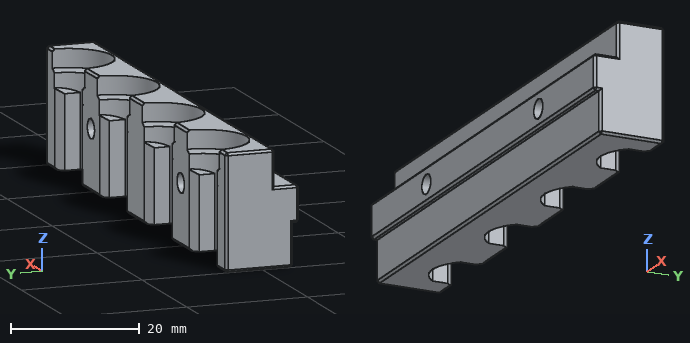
import cadquery as cq
import math

LENGTH = 80.0
DEPTH = 12.2
HEIGHT = 19.0
EDGE_CHAMFER = 0.4

UPPER_RECESS = 4.0
LOWER_RECESS = 1.0
TONGUE_BOTTOM = 7.0
TONGUE_TOP = 13.0

CRADLE_COUNT = 4
CRADLE_PITCH = LENGTH / CRADLE_COUNT
MOUTH_RADIUS = 7.2
MOUTH_DEPTH = 3.0
BORE_RADIUS = 6.2
BORE_DEPTH = 6.0
THROAT_HALF_WIDTH = 5.0
THROAT_LEAD_IN = 1.2
LEDGE_SLOPE = math.radians(30)

HOLE_COUNT = 2
HOLE_DIAMETER = 3.2
HOLE_SPACING = 2 * CRADLE_PITCH
HOLE_HEIGHT = (TONGUE_BOTTOM + TONGUE_TOP) / 2


def make_body():
    """Stepped bar along X with every outer edge chamfered."""
    upper_front = -DEPTH + UPPER_RECESS
    lower_front = -DEPTH + LOWER_RECESS
    profile = [
        (0, 0),
        (0, HEIGHT),
        (upper_front, HEIGHT),
        (upper_front, TONGUE_TOP),
        (-DEPTH, TONGUE_TOP),
        (-DEPTH, TONGUE_BOTTOM),
        (lower_front, TONGUE_BOTTOM),
        (lower_front, 0),
    ]
    bar = cq.Workplane("YZ").polyline(profile).close().extrude(LENGTH / 2, both=True)

    inner_corners = [(upper_front, TONGUE_TOP), (lower_front, TONGUE_BOTTOM)]

    def is_outer(edge):
        center = edge.Center()
        distances = [math.hypot(center.y - y, center.z - z) for y, z in inner_corners]
        return min(distances) > EDGE_CHAMFER

    outer_edges = [edge for edge in bar.edges().vals() if is_outer(edge)]
    return bar.newObject(outer_edges).chamfer(EDGE_CHAMFER)


def make_cradle_cutter():
    """Cutter for one cradle: wide mouth, cone, bore, then a flat-sided throat."""
    cone_top = HEIGHT - MOUTH_DEPTH
    cone_bottom = cone_top - (MOUTH_RADIUS - BORE_RADIUS) * math.tan(LEDGE_SLOPE)
    bore_bottom = HEIGHT - BORE_DEPTH

    half_section = [
        (0, 0),
        (BORE_RADIUS, 0),
        (BORE_RADIUS, cone_bottom),
        (MOUTH_RADIUS, cone_top),
        (MOUTH_RADIUS, HEIGHT),
        (0, HEIGHT),
    ]
    round_cutter = (
        cq.Workplane("XZ").polyline(half_section).close().revolve(360, (0, 0), (0, 1))
    )

    throat_top = bore_bottom - (BORE_RADIUS - THROAT_HALF_WIDTH) * math.tan(LEDGE_SLOPE)
    slot_outline = [
        (-THROAT_HALF_WIDTH, 0),
        (THROAT_HALF_WIDTH, 0),
        (THROAT_HALF_WIDTH, throat_top),
        (BORE_RADIUS, bore_bottom),
        (MOUTH_RADIUS, bore_bottom),
        (MOUTH_RADIUS, HEIGHT),
        (-MOUTH_RADIUS, HEIGHT),
        (-MOUTH_RADIUS, bore_bottom),
        (-BORE_RADIUS, bore_bottom),
        (-THROAT_HALF_WIDTH, throat_top),
    ]
    slot = (
        cq.Workplane("XZ").polyline(slot_outline).close().extrude(MOUTH_RADIUS, both=True)
    )

    flare_half_width = THROAT_HALF_WIDTH + THROAT_LEAD_IN
    flare = (
        cq.Workplane("XY")
        .polyline(
            [
                (-THROAT_HALF_WIDTH, -THROAT_LEAD_IN),
                (THROAT_HALF_WIDTH, -THROAT_LEAD_IN),
                (flare_half_width, 0),
                (-flare_half_width, 0),
            ]
        )
        .close()
        .extrude(HEIGHT)
    )
    return round_cutter.intersect(slot).union(flare)


def centered_positions(count, pitch):
    """Evenly spaced X positions, symmetric about the middle of the bar."""
    return [(index - (count - 1) / 2) * pitch for index in range(count)]


result = make_body()

cradle_cutter = make_cradle_cutter()
for x in centered_positions(CRADLE_COUNT, CRADLE_PITCH):
    result = result.cut(cradle_cutter.translate((x, 0, 0)))

for x in centered_positions(HOLE_COUNT, HOLE_SPACING):
    hole = (
        cq.Workplane("XZ")
        .center(x, HOLE_HEIGHT)
        .circle(HOLE_DIAMETER / 2)
        .extrude(DEPTH)
    )
    result = result.cut(hole)